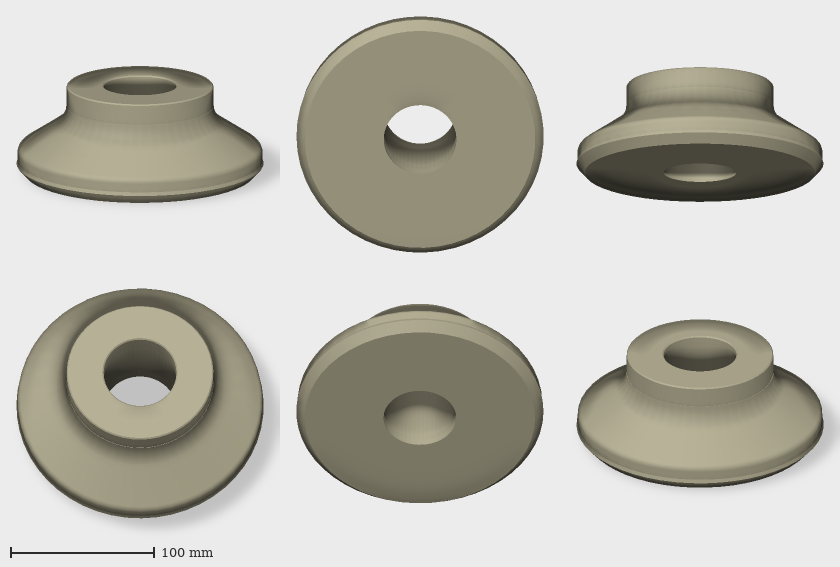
import cadquery as cq
import math

total_height = 63.0
rim_top = 9.0
rim_widest = 6.5
neck_top = 48.7
shoulder_bottom = 15.2

bore_radius = 50.8 / 2
collar_radius = 102.5 / 2
neck_radius = 103.0 / 2
band_radius = 171 / 2
rim_radius = 172.8 / 2
rim_foot_radius = 80.5

collar_chamfer = 0.9
bore_chamfer = 0.9
neck_fillet = 15.2
shoulder_round = 4.8

flank_slope = 33.8
turn_angle = math.radians(90 - flank_slope)


def arc_point(radius, angle):
    """Inward and axial travel along an arc that starts out vertical."""
    return radius * (1 - math.cos(angle)), radius * math.sin(angle)


def make_hub():
    """Collar, concave neck, conical flank and outer band, with a through bore."""
    round_mid = arc_point(shoulder_round, turn_angle / 2)
    round_end = arc_point(shoulder_round, turn_angle)
    fillet_mid = arc_point(neck_fillet, turn_angle / 2)
    fillet_end = arc_point(neck_fillet, turn_angle)
    return (
        cq.Workplane("XZ")
        .moveTo(bore_radius, rim_top)
        .lineTo(band_radius, rim_top)
        .lineTo(band_radius, shoulder_bottom)
        .threePointArc(
            (band_radius - round_mid[0], shoulder_bottom + round_mid[1]),
            (band_radius - round_end[0], shoulder_bottom + round_end[1]),
        )
        .lineTo(neck_radius + fillet_end[0], neck_top - fillet_end[1])
        .threePointArc(
            (neck_radius + fillet_mid[0], neck_top - fillet_mid[1]),
            (neck_radius, neck_top),
        )
        .lineTo(collar_radius, neck_top)
        .lineTo(collar_radius, total_height - collar_chamfer)
        .lineTo(collar_radius - collar_chamfer, total_height)
        .lineTo(bore_radius + bore_chamfer, total_height)
        .lineTo(bore_radius, total_height - bore_chamfer)
        .close()
        .revolve(360, (0, 0, 0), (0, 1, 0))
    )


def make_rim():
    """Bevelled ring under the hub, widest just below the joint."""
    return (
        cq.Workplane("XZ")
        .moveTo(bore_radius, 0)
        .lineTo(rim_foot_radius, 0)
        .lineTo(rim_radius, rim_widest)
        .lineTo(band_radius, rim_top)
        .lineTo(bore_radius, rim_top)
        .close()
        .revolve(360, (0, 0, 0), (0, 1, 0))
    )


hub = make_hub()
rim = make_rim()

result = cq.Compound.makeCompound([hub.val(), rim.val()])